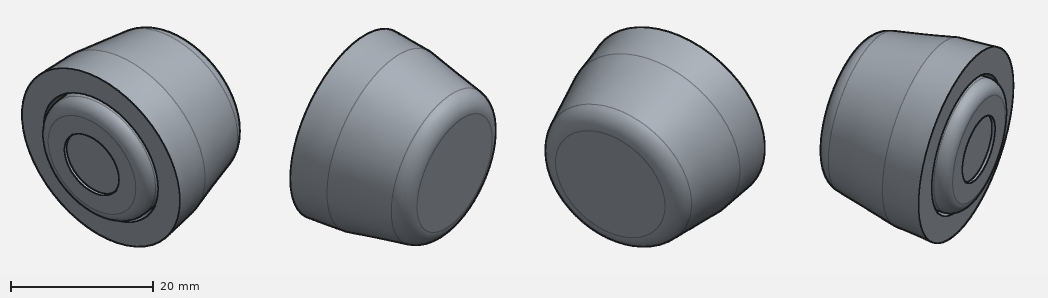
import cadquery as cq

base_radius = 14.5
skirt_height = 6.0
shoulder_radius = 14.05
body_height = 18.0
back_radius = 11.45
back_fillet = 3.0

boss_radius = 10.0
boss_height = 2.0
boss_fillet = 1.97
recess_diameter = 10.0
recess_depth = 0.5

groove_diameter = 21.0
groove_depth = 1.85


def front_disc(diameter, start_y, length):
    """Cylinder about the Y axis, running from start_y toward +Y."""
    disc = cq.Workplane("XZ").circle(diameter / 2).extrude(-length)
    return disc.translate((0, start_y, 0))


body = (
    cq.Workplane("XY")
    .polyline([
        (0, 0),
        (base_radius, 0),
        (shoulder_radius, skirt_height),
        (back_radius, body_height),
        (0, body_height),
    ])
    .close()
    .revolve(360, (0, 0, 0), (0, 1, 0))
    .faces(">Y")
    .edges()
    .fillet(back_fillet)
)

groove = (
    cq.Workplane("XY")
    .polyline([
        (0, 0),
        (groove_diameter / 2, 0),
        (boss_radius, groove_depth),
        (0, groove_depth),
    ])
    .close()
    .revolve(360, (0, 0, 0), (0, 1, 0))
)
body = body.cut(groove)

boss = (
    front_disc(2 * boss_radius, -boss_height, boss_height + groove_depth)
    .faces("<Y")
    .edges()
    .fillet(boss_fillet)
)

recess = front_disc(recess_diameter, -boss_height, recess_depth)

result = body.union(boss).cut(recess)